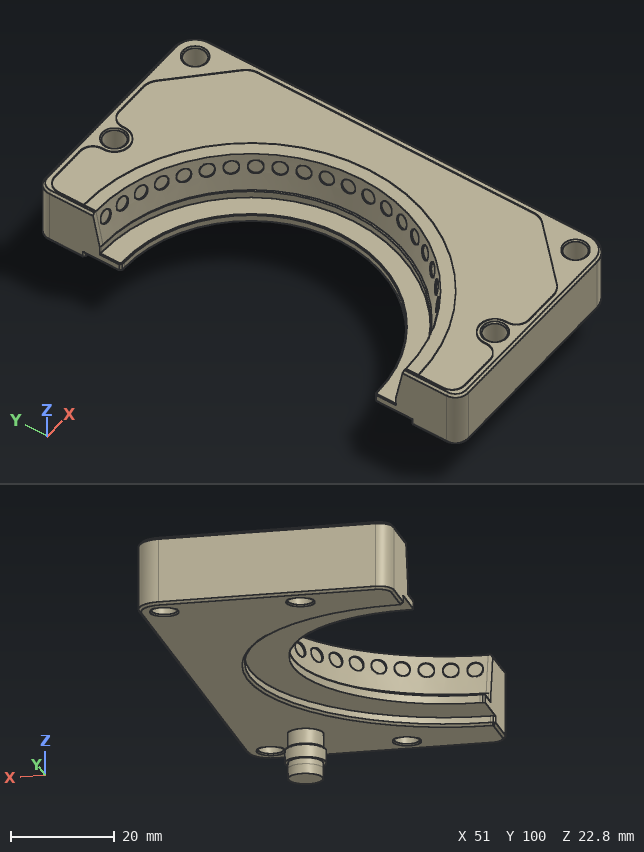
import cadquery as cq
import math

width = 100.0
reach = 50.0
straight = 1.0
height = 13.7
axis_side_radius = 3.0
far_side_radius = 5.0
edge_chamfer = 0.5

margin = 0.1

bore_radius = 30.0
seat_radius = 35.0
seat_centre_x = -0.5
cone_start_radius = 35.0
rim_radius = 36.7
seat_z = 3.6
seat_chamfer = 0.2
corner_chamfer = 0.4
cone_start_z = 5.3
underside_recess_radius = 38.6
underside_recess_depth = 1.8

lamp_count = 24
lamp_diameter = 3.1
lamp_depth = 0.3
lamp_z = 10.6

cover_inset = 1.5
cover_depth = 0.2
cover_ring_radius = 39.6
cover_ring_depth = 0.1
cover_corner_cut = 14.2
cover_fillet = 3.0
cover_cut_fillet = 4.0
cover_notch_width = 7.0

hole_diameter = 5.0
hole_chamfer = 0.3
hole_y = 45.0
hole_xs = (18.0, 45.0)

connector_x = 36.0
connector_y = -36.0
stem_diameter = 7.0
stem_length = 3.0
groove_diameter = 6.2
groove_length = 0.4
collar_diameter = 8.0
collar_length = 2.5
tip_diameter = 6.8
barb_diameter = 7.0
barb_length = 1.2
connector_length = 9.1


def make_block():
    block = cq.Workplane("XY").box(reach + straight, width, height, centered=(False, True, False))
    block = block.translate((-straight, 0, 0))
    block = block.edges("|Z and <X").fillet(axis_side_radius)
    return block.edges("|Z and >X").fillet(far_side_radius)


def ring_cut(wall, centre_x=0.0):
    """Space inside a wall of (r, z) points about a vertical axis, run on straight to the axis side."""
    axis = [(0, wall[-1][1]), (0, wall[0][1])]
    turned = cq.Workplane("XZ").polyline(wall + axis).close().revolve(360, (0, 0, 0), (0, 1, 0))
    opposite_wall = [(-r, z) for r, z in reversed(wall)]
    run_on = cq.Workplane("YZ").polyline(wall + opposite_wall).close().extrude(-straight - centre_x)
    return turned.union(run_on).translate((centre_x, 0, 0))


def chamfer_end_corners(body, radius, low_z, high_z):
    """Chamfer the two upright corners where a ring wall meets the end faces."""
    for y in (-radius, radius):
        corner = cq.selectors.BoxSelector(
            (-straight - margin, y - margin, low_z), (-straight + margin, y + margin, high_z)
        )
        body = body.edges("|Z").edges(corner).chamfer(corner_chamfer)
    return body


def cut_underside_recess(body):
    wall = [
        (underside_recess_radius, 0),
        (underside_recess_radius, underside_recess_depth),
    ]
    body = body.cut(ring_cut(wall))
    return chamfer_end_corners(body, underside_recess_radius, 0, underside_recess_depth)


def cut_opening(body):
    bore = [
        (bore_radius, 0),
        (bore_radius, height),
    ]
    seat = [
        (seat_radius, seat_z),
        (seat_radius, cone_start_z),
    ]
    cone = [
        (cone_start_radius, cone_start_z),
        (rim_radius, height),
    ]
    body = body.cut(ring_cut(bore)).cut(ring_cut(seat, seat_centre_x)).cut(ring_cut(cone))
    return chamfer_end_corners(body, bore_radius, underside_recess_depth, seat_z)


def chamfer_seat(body):
    """Chamfer the free upper edges of the seat: its bore, its end faces and the cut corners between."""
    low_z = seat_z - margin
    high_z = seat_z + margin
    end_middle = (bore_radius + seat_radius) / 2 + corner_chamfer
    ends = cq.selectors.BoxSelector((-straight - margin, -end_middle, low_z), (-margin, end_middle, high_z))
    bore_arc_centre_x = 2 * bore_radius / math.pi
    arc = cq.selectors.BoxSelector((0, -1, low_z), (bore_arc_centre_x + margin, 1, high_z))
    return body.edges(ends + arc).chamfer(seat_chamfer)


def cut_lamp_pockets(body):
    slope = (rim_radius - cone_start_radius) / (height - cone_start_z)
    lamp_radius = cone_start_radius + slope * (lamp_z - cone_start_z)
    pitch = 180.0 / lamp_count
    for i in range(lamp_count):
        angle = math.radians(-90 + pitch * (i + 0.5))
        outward = cq.Vector(math.cos(angle), math.sin(angle), -slope).normalized()
        centre = cq.Vector(lamp_radius * math.cos(angle), lamp_radius * math.sin(angle), lamp_z)
        pocket = cq.Solid.makeCylinder(
            lamp_diameter / 2, 2 * lamp_depth, centre - outward * lamp_depth, outward
        )
        body = body.cut(cq.Workplane(pocket))
    return body


def make_cover_area():
    far_x = reach - cover_inset
    far_y = width / 2 - cover_inset
    cut_x = far_x - cover_corner_cut
    cut_y = far_y - cover_corner_cut
    outline = [(0, -far_y), (cut_x, -far_y), (far_x, -cut_y), (far_x, cut_y), (cut_x, far_y), (0, far_y)]
    area = cq.Workplane("XY").polyline(outline).close().extrude(height)
    area = area.edges("|Z and <X").fillet(cover_fillet)
    area = area.edges("|Z").edges(cq.selectors.BoxSelector((cut_x - 1, -width, 0), (reach, width, height)))
    area = area.fillet(cover_cut_fillet)

    notch_x = hole_xs[0]
    mouth = (notch_x - cover_notch_width, notch_x + cover_notch_width)
    for side in (-1, 1):
        end = cq.Workplane("XY").center(notch_x, side * hole_y).circle(cover_notch_width / 2).extrude(height)
        throat = (
            cq.Workplane("XY")
            .center(notch_x, side * (hole_y + cover_notch_width / 2))
            .rect(cover_notch_width, cover_notch_width)
            .extrude(height)
        )
        area = area.cut(throat.union(end))
        corners = cq.selectors.BoxSelector(
            (mouth[0], side * (far_y - 0.1), 0), (mouth[1], side * (far_y + 0.1), height)
        )
        area = area.edges("|Z").edges(corners).fillet(cover_fillet)
    return area


def sink_cover(body):
    area = make_cover_area()
    ring = cq.Workplane("XY").circle(cover_ring_radius).extrude(height)
    plate = area.cut(ring).translate((0, 0, height - cover_depth))
    rim = area.intersect(ring).translate((0, 0, height - cover_ring_depth))
    return body.cut(plate).cut(rim)


def cut_mounting_holes(body):
    places = [(x, side * hole_y) for x in hole_xs for side in (-1, 1)]
    radius = hole_diameter / 2
    wide = radius + hole_chamfer
    profile = [
        (0, 0),
        (wide, 0),
        (radius, hole_chamfer),
        (radius, height - hole_chamfer),
        (wide, height),
        (0, height),
    ]
    hole = cq.Workplane("XZ").polyline(profile).close().revolve(360, (0, 0, 0), (0, 1, 0))
    for x, y in places:
        body = body.cut(hole.translate((x, y, 0)))
    return body


def make_connector():
    collar_top = -stem_length - groove_length
    collar_bottom = collar_top - collar_length
    outline = [
        (0, 0),
        (stem_diameter / 2, 0),
        (stem_diameter / 2, -stem_length),
        (groove_diameter / 2, -stem_length),
        (groove_diameter / 2, collar_top),
        (collar_diameter / 2, collar_top),
        (collar_diameter / 2, collar_bottom),
        (tip_diameter / 2, collar_bottom),
        (barb_diameter / 2, collar_bottom - barb_length),
        (tip_diameter / 2, -connector_length),
        (0, -connector_length),
    ]
    connector = cq.Workplane("XZ").polyline(outline).close().revolve(360, (0, 0, 0), (0, 1, 0))
    return connector.translate((connector_x, connector_y, 0))


body = make_block()
body = cut_underside_recess(body)
body = body.faces("<Z").chamfer(edge_chamfer)
body = body.faces(">Z").chamfer(edge_chamfer)
body = cut_opening(body)
body = chamfer_seat(body)
body = cut_lamp_pockets(body)
body = sink_cover(body)
body = cut_mounting_holes(body)
result = body.union(make_connector())